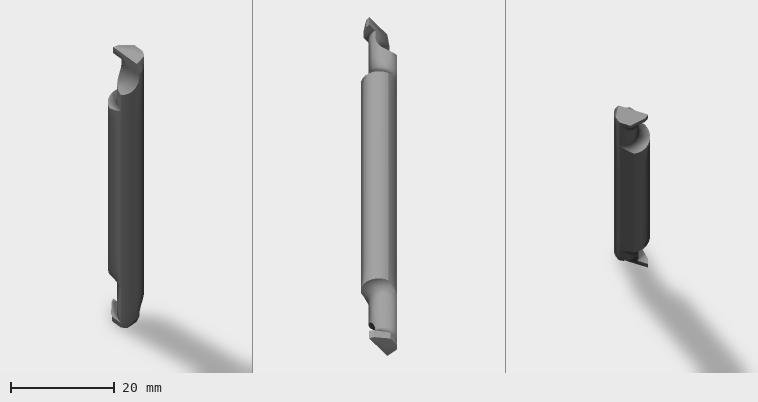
import cadquery as cq
import math

length = 85.0
half_length = length / 2
shank_radius = 3.5
flat_half_width = 3.2

neck_radius = 3.2
neck_left = -1.2
neck_axis_x = neck_left + neck_radius
neck_fillet = 2.0
shoulder_depth = 15.1

gullet_start = 3.4
gullet_radius = 5.0

lip_tip_x = -3.3
lip_thickness = 2.0
clearance_angle = 4.0
clearance_slope = math.tan(math.radians(clearance_angle))
primary_end = (-2.97, 0.94)
secondary_end = (-0.7, flat_half_width)

bevel_width = 0.72
bevel_height = 2.5
bevel_clearance = 0.4

margin = 5.0
cutter_half_span = 2 * shank_radius


def make_stock():
    """Round bar with two opposite flats; its seam is turned into a flat."""
    round_bar = cq.Workplane("XY").circle(shank_radius).extrude(length)
    round_bar = round_bar.rotate((0, 0, 0), (0, 0, 1), 90)
    flats = cq.Workplane("XY").rect(2 * cutter_half_span, 2 * flat_half_width).extrude(length)
    return round_bar.intersect(flats).translate((0, 0, -half_length))


def gullet_cutter():
    """Space in front of the rake face, running out through the flat in an arc."""
    start_z = half_length - gullet_start
    floor_z = start_z - gullet_radius
    return (
        cq.Workplane("YZ")
        .moveTo(0, half_length + margin)
        .lineTo(0, start_z)
        .radiusArc((-gullet_radius, floor_z), gullet_radius)
        .lineTo(-gullet_radius - margin, floor_z)
        .lineTo(-gullet_radius - margin, half_length + margin)
        .close()
        .extrude(cutter_half_span, both=True)
    )


def lip_relief_cutter():
    """Primary and secondary relief beside the cutting edge."""
    height = lip_thickness + margin
    return (
        cq.Workplane("XY", origin=(0, 0, half_length - lip_thickness))
        .polyline([
            (lip_tip_x, 0),
            primary_end,
            secondary_end,
            (secondary_end[0], margin),
            (-margin, margin),
            (-margin, 0),
        ])
        .close()
        .extrude(height)
    )


def end_relief_cutter():
    """Clearance of the end face, falling away behind the cutting edge."""
    return (
        cq.Workplane("YZ")
        .polyline([
            (0, half_length),
            (margin, half_length - margin * clearance_slope),
            (margin, half_length + margin),
            (0, half_length + margin),
        ])
        .close()
        .extrude(cutter_half_span, both=True)
    )


def bevel_section(y):
    """Outline of the bevel cutter in the plane at the given Y."""
    end_x = shank_radius - bevel_width - y * bevel_clearance / flat_half_width
    overrun = bevel_width / bevel_height * margin
    return [
        (end_x - overrun, half_length + margin),
        (end_x + overrun, half_length - margin),
        (cutter_half_span, half_length - margin),
        (cutter_half_span, half_length + margin),
    ]


def bevel_cutter():
    """Sloping back corner, leaning in with distance from the rake face."""
    return (
        cq.Workplane("XZ")
        .polyline(bevel_section(0))
        .close()
        .workplane(offset=-margin)
        .polyline(bevel_section(margin))
        .close()
        .loft(ruled=True)
    )


def neck_cutter():
    """Ring round the neck, filleted at the shoulder and sloped under the lip."""
    outer = neck_radius + margin
    shoulder_z = half_length - shoulder_depth
    ring = (
        cq.Workplane("YZ")
        .moveTo(neck_radius, half_length)
        .lineTo(neck_radius, shoulder_z + neck_fillet)
        .radiusArc((neck_radius + neck_fillet, shoulder_z), -neck_fillet)
        .lineTo(outer, shoulder_z)
        .lineTo(outer, half_length)
        .close()
        .revolve(360, (0, 0), (0, 1))
        .translate((neck_axis_x, 0, 0))
    )
    underside_z = half_length - lip_thickness
    rise = margin * clearance_slope
    below_lip = (
        cq.Workplane("YZ")
        .polyline([
            (-margin, 0),
            (margin, 0),
            (margin, underside_z + rise),
            (-margin, underside_z - rise),
        ])
        .close()
        .extrude(2 * cutter_half_span, both=True)
    )
    return ring.intersect(below_lip)


def half_turn(body):
    return body.rotate((0, 0, 0), (1, 0, 0), 180)


def make_bar():
    """Whole bar with both ends cut, before the tip is parted off."""
    bar = make_stock()
    cutters = [
        gullet_cutter(),
        lip_relief_cutter(),
        end_relief_cutter(),
        bevel_cutter(),
        neck_cutter(),
    ]
    for cutter in cutters:
        bar = bar.cut(cutter).cut(half_turn(cutter))
    return bar


def make_tip_zone():
    """Block that holds the lower head up to the top of its lip."""
    return (
        cq.Workplane("XY", origin=(0, 0, -half_length - margin))
        .rect(2 * cutter_half_span, 2 * cutter_half_span)
        .extrude(margin + lip_thickness)
    )


bar = make_bar()
tip_zone = make_tip_zone()
holder = bar.cut(tip_zone)
cutting_tip = bar.intersect(tip_zone)

result = cq.Compound.makeCompound([holder.val(), cutting_tip.val()])